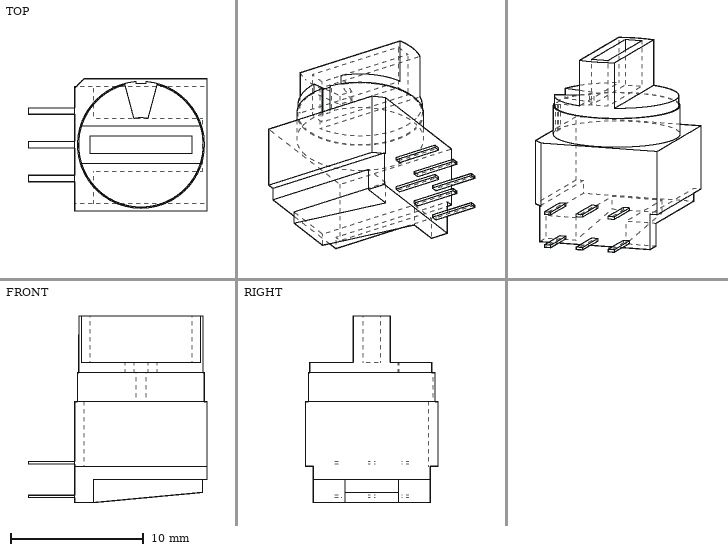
import cadquery as cq
import math


body_side = 10.0
corner_chamfer = 0.72
housing_top = 7.62
seam_z = 3.75
base_plate_bottom = 2.74

base_width = 8.83
base_bottom = 1.75
foot_length = 1.43

rib_width = 4.0
rib_end_x = 4.65
rib_end_z = 0.77

pin_pitch = 2.54
pin_width = 0.5
pin_thickness = 0.2
pin_length = 3.5
lower_pin_z = 0.48

collar_radius = 4.79
collar_top = 9.82
notch_width = 0.75
notch_floor_y = 4.62

knob_radius = 4.7
disc_top = 10.59
knob_top = 14.1
grip_width = 2.8
slot_length = 7.7
slot_width = 1.32
window_inner_radius = 2.05
window_half_angle = math.radians(15)

half_side = body_side / 2


def block(x_min, x_max, width, z_min, z_max):
    """Box centred on Y = 0."""
    size_x = x_max - x_min
    box = cq.Workplane("XY").box(size_x, width, z_max - z_min, centered=(False, True, False))
    return box.translate((x_min, 0, z_min))


def disc(radius, z_min, z_max):
    """Cylinder on the knob axis."""
    return cq.Workplane("XY").workplane(offset=z_min).circle(radius).extrude(z_max - z_min)


def chamfered_square(z_min, z_max):
    """Full-size housing layer with the (-X, +Y) corner cut off."""
    layer = block(-half_side, half_side, body_side, z_min, z_max)
    return layer.edges("|Z and <X and >Y").chamfer(corner_chamfer)


def make_base():
    """Base block with a foot along the terminal side and a wedge rib behind the foot."""
    foot_end_x = -half_side + foot_length
    plate = block(-half_side, half_side, base_width, base_bottom, base_plate_bottom)
    foot = block(-half_side, foot_end_x, base_width, 0, base_bottom)
    rib = (
        cq.Workplane("XZ")
        .moveTo(foot_end_x, 0)
        .lineTo(rib_end_x, rib_end_z)
        .lineTo(rib_end_x, base_bottom)
        .lineTo(foot_end_x, base_bottom)
        .close()
        .extrude(rib_width / 2, both=True)
    )
    return plate.union(foot).union(rib)


def make_collar():
    """Round collar with a small index notch on its +Y side."""
    notch_depth = collar_radius - notch_floor_y
    notch = (
        cq.Workplane("XY")
        .box(notch_width, notch_depth, collar_top - housing_top, centered=(True, False, False))
        .translate((0, notch_floor_y, housing_top))
    )
    return disc(collar_radius, housing_top, collar_top).cut(notch)


def make_window():
    """Radial sector that opens the knob disc on its +Y side."""
    outer_y = collar_radius
    outer_x = outer_y * math.tan(window_half_angle)
    inner_x = window_inner_radius * math.sin(window_half_angle)
    inner_y = window_inner_radius * math.cos(window_half_angle)
    return (
        cq.Workplane("XY")
        .workplane(offset=collar_top)
        .moveTo(-inner_x, inner_y)
        .threePointArc((0, window_inner_radius), (inner_x, inner_y))
        .lineTo(outer_x, outer_y)
        .lineTo(-outer_x, outer_y)
        .close()
        .extrude(disc_top - collar_top)
    )


def make_knob():
    """Knob disc with its window and a slotted grip bar whose ends follow the disc."""
    grip_blank = block(-knob_radius, knob_radius, grip_width, collar_top, knob_top)
    grip = disc(knob_radius, collar_top, knob_top).intersect(grip_blank)
    slot = block(-slot_length / 2, slot_length / 2, slot_width, disc_top, knob_top)
    return disc(knob_radius, collar_top, disc_top).cut(make_window()).union(grip).cut(slot)


def make_pins():
    """Two rows of three flat terminals on the -X side."""
    pins = []
    for row in range(2):
        for column in (-1, 0, 1):
            z_min = lower_pin_z + row * pin_pitch - pin_thickness / 2
            pin = block(-half_side - pin_length, -half_side, pin_width, z_min, z_min + pin_thickness)
            pins.append(pin.translate((0, column * pin_pitch, 0)))
    return pins


housing = chamfered_square(seam_z, housing_top)
lower_body = chamfered_square(base_plate_bottom, seam_z).union(make_base())

result = housing.union(lower_body, clean=False)
for piece in [make_collar(), make_knob()] + make_pins():
    result = result.union(piece, clean=False)